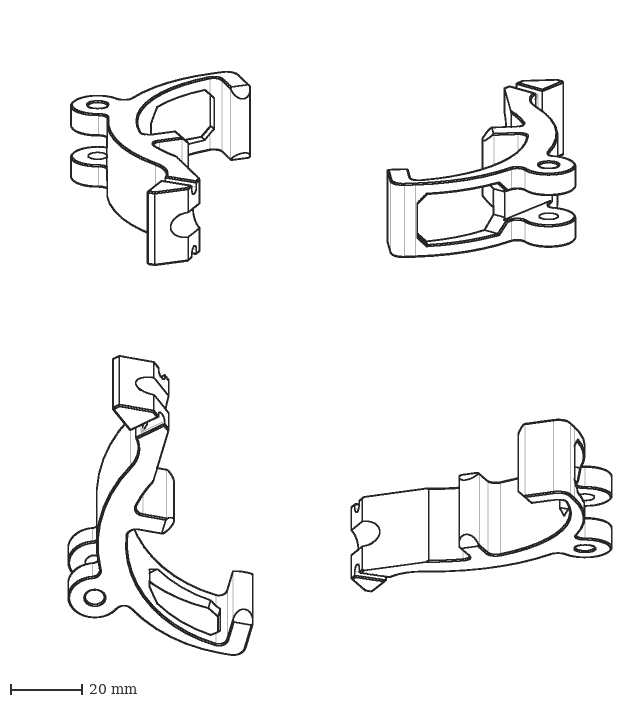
import cadquery as cq
import math

thickness = 22.0
half_thickness = thickness / 2
edge_chamfer = 0.4
overall_length = 95.2
margin = 0.95

lug_radius = 7.5
pivot_radius = 2.7
lug_fillet = 2.4
slot_half_width = 4.4
slot_floor_x = 7.8

jaw_center = (51.0, 9.0)
jaw_inner_radius = 39.0
jaw_outer_radius = 47.6
arm_center = (49.5, 5.3)
arm_outer_radius = 43.3

prong_width = 5.8
prong_half_width = prong_width / 2
prong_tip_distance = 29.5
prong_root_fillet = 2.4
hook_corner_fillet = 3.6
tip_slope_drop = 2.9

tail_inner_angle = 247.3
tail_stock_angle = 255.0
tail_outer_angle = 248.8
block_left_x = 40.7
block_right_x = 50.2
tail_end_y = -43.5
block_bottom_y = -56.1
block_bottom_width = 2.5

groove_center_y = -44.9
groove_radius = 1.5
groove_depth = 3.1
neck_bevel = 1.5
channel_radius = 3.7

window_half_height = 7.5
window_bottom_y = 9.8
window_top_start = (18.5, 35.5)
window_top_chamfer = 2.9
window_bottom_chamfer = 3.7
window_reach = 3.8


def polar(center, radius, degrees):
    angle = math.radians(degrees)
    return (center[0] + radius * math.cos(angle), center[1] + radius * math.sin(angle))


def prong_point(side, distance, offset):
    """Point at a distance from the jaw centre along a prong (side +1 upper, -1 lower).

    A positive offset lies on the prong flank facing away from the jaw.
    """
    diagonal = math.sqrt(0.5)
    x = jaw_center[0] + diagonal * (offset - distance)
    y = jaw_center[1] + side * diagonal * (offset + distance)
    return (x, y)


def circle_x(center, radius, y):
    """X of the left-hand point of a circle at height y."""
    return center[0] - math.sqrt(radius**2 - (y - center[1])**2)


root_distance = math.sqrt(jaw_inner_radius**2 - prong_half_width**2)
tip_end_distance = prong_tip_distance - prong_half_width
arm_tangent = polar(arm_center, arm_outer_radius, 135)
hook_distance = (
    (arm_tangent[1] - jaw_center[1]) - (arm_tangent[0] - jaw_center[0])
) * math.sqrt(0.5)
hook_apex = prong_point(1, hook_distance, prong_half_width)
upper_root = prong_point(1, root_distance, -prong_half_width)
lower_root_inside = prong_point(-1, root_distance, -prong_half_width)
lower_root_outside = prong_point(-1, root_distance, prong_half_width)
tail_slope_start = polar(jaw_center, jaw_inner_radius, tail_inner_angle)
tail_slope_end_y = tail_slope_start[1] - (block_right_x - tail_slope_start[0])
tail_stock_corner = polar(jaw_center, jaw_inner_radius, tail_stock_angle)
tail_curve_start = polar(jaw_center, jaw_outer_radius, tail_outer_angle)
block_slope_start = (block_left_x + block_bottom_width, block_bottom_y)
block_slope_end_y = block_bottom_y + block_right_x - block_slope_start[0]
arm_end = (circle_x(arm_center, arm_outer_radius, 0), 0)
jaw_outer_start = (circle_x(jaw_center, jaw_outer_radius, 0), 0)
jaw_inner_mid = polar(jaw_center, jaw_inner_radius, 180)
tail_inner_mid = polar(jaw_center, jaw_inner_radius, 240)
jaw_outer_mid = polar(jaw_center, jaw_outer_radius, 220)
arm_mid = polar(arm_center, arm_outer_radius, 160)
upper_lug_corner = polar((0, 0), lug_radius, 40)
lower_lug_corner = polar((0, 0), lug_radius, -40)


def vertical_edge(body, point):
    return body.edges("|Z").edges(cq.NearestToPointSelector((point[0], point[1], 0)))


def bracket_body():
    outline = (
        cq.Workplane("XY", origin=(0, 0, -half_thickness))
        .moveTo(*hook_apex)
        .lineTo(*prong_point(1, prong_tip_distance, prong_half_width))
        .threePointArc(
            prong_point(1, tip_end_distance, 0),
            prong_point(1, prong_tip_distance, -prong_half_width),
        )
        .lineTo(*upper_root)
        .threePointArc(jaw_inner_mid, lower_root_inside)
        .lineTo(*prong_point(-1, prong_tip_distance, -prong_half_width))
        .threePointArc(
            prong_point(-1, tip_end_distance, 0),
            prong_point(-1, prong_tip_distance, prong_half_width),
        )
        .lineTo(*lower_root_outside)
        .threePointArc(tail_inner_mid, tail_stock_corner)
        .lineTo(block_right_x, tail_stock_corner[1])
        .lineTo(block_right_x, block_slope_end_y)
        .lineTo(*block_slope_start)
        .lineTo(block_left_x, block_bottom_y)
        .lineTo(block_left_x, tail_end_y)
    )
    tangent = polar((0, 0), 1, tail_outer_angle + 90)
    chord = (block_left_x - tail_curve_start[0], tail_end_y - tail_curve_start[1])
    chord_length = math.hypot(*chord)
    half_turn = math.acos((chord[0] * tangent[0] + chord[1] * tangent[1]) / chord_length)
    sag = chord_length / 2 * math.tan(half_turn / 2)
    tail_curve_mid = (
        tail_curve_start[0] + chord[0] / 2 - chord[1] / chord_length * sag,
        tail_curve_start[1] + chord[1] / 2 + chord[0] / chord_length * sag,
    )
    body = (
        outline.threePointArc(tail_curve_mid, tail_curve_start)
        .threePointArc(jaw_outer_mid, jaw_outer_start)
        .lineTo(*arm_end)
        .threePointArc(arm_mid, arm_tangent)
        .close()
        .extrude(thickness)
    )
    lug = cq.Workplane("XY", origin=(0, 0, -half_thickness)).circle(lug_radius).extrude(thickness)
    body = body.union(lug)

    for corner, radius in (
        (hook_apex, hook_corner_fillet),
        (upper_root, prong_root_fillet),
        (lower_root_inside, prong_root_fillet),
        (lower_root_outside, prong_root_fillet),
        (upper_lug_corner, lug_fillet),
        (lower_lug_corner, lug_fillet),
    ):
        body = vertical_edge(body, corner).fillet(radius)
    return vertical_edge(body, (block_left_x, block_bottom_y)).chamfer(edge_chamfer)


def cut_hinge_slot(body):
    slot_length = slot_floor_x + lug_radius + margin
    slot = cq.Workplane("XY").box(slot_length, overall_length, 2 * slot_half_width)
    body = body.cut(slot.translate((slot_floor_x - slot_length / 2, 0, 0)))
    for side in (1, -1):
        wall = body.faces(cq.NearestToPointSelector((0, 0, side * slot_half_width)))
        body = wall.edges("not #X").edges("not |Y").chamfer(edge_chamfer)
    return body


def chamfer_rims(body):
    return body.faces("<Z or >Z").edges().chamfer(edge_chamfer)


def cut_tail_slope(body):
    """Cut the sloped back of the tail, whose edges stay sharp, out of the square stock."""
    waste = (
        cq.Workplane("XY")
        .moveTo(tail_slope_start[0] - margin, tail_slope_start[1] + margin)
        .lineTo(block_right_x + margin, tail_slope_end_y - margin)
        .lineTo(block_right_x + margin, tail_slope_start[1] + margin)
        .close()
        .extrude(thickness, both=True)
    )
    return body.cut(waste)


def cut_pivot_hole(body):
    hole = cq.Workplane("XY").circle(pivot_radius).extrude(thickness, both=True)
    countersink = (
        cq.Workplane("XY", origin=(0, 0, half_thickness))
        .circle(pivot_radius + edge_chamfer)
        .extrude(-edge_chamfer, taper=45)
    )
    return body.cut(hole).cut(countersink).cut(countersink.mirror("XY"))


def slope_prong_tips(body):
    """Slope the top and bottom of each round tip down towards its end."""
    reach = prong_half_width + margin
    drop = tip_slope_drop * reach / prong_half_width
    wedge = (
        cq.Workplane("XZ")
        .moveTo(0, half_thickness)
        .lineTo(reach, half_thickness - drop)
        .lineTo(reach, half_thickness)
        .close()
        .extrude(reach, both=True)
    )
    for side in (1, -1):
        tip = prong_point(side, prong_tip_distance, 0)
        cutter = wedge.rotate((0, 0, 0), (0, 0, 1), -45 * side).translate((tip[0], tip[1], 0))
        body = body.cut(cutter).cut(cutter.mirror("XY"))
    return body


def cut_window(body):
    """Window with 45 degree corners; its top wall slopes, its bottom wall runs along X."""
    outer_x = -lug_radius
    inner_x = window_top_start[0] + window_reach
    top_wall = window_top_start[0] + window_top_start[1]
    window = (
        cq.Workplane("XY", origin=(0, 0, -window_half_height))
        .moveTo(outer_x, window_bottom_y)
        .lineTo(inner_x, window_bottom_y)
        .lineTo(inner_x, top_wall - inner_x)
        .lineTo(outer_x, top_wall - outer_x)
        .close()
        .extrude(2 * window_half_height)
    )
    window = window.faces("<Y").edges("|X").chamfer(window_bottom_chamfer)
    window = window.faces(">(1,1,0)").edges("not |Z").chamfer(window_top_chamfer)
    body = body.cut(window)
    arm_face = body.faces(cq.NearestToPointSelector((*arm_mid, 0)))
    opening = cq.selectors.BoxSelector(
        (-lug_radius, 0, -window_half_height - margin),
        (*window_top_start, window_half_height + margin),
    )
    return arm_face.edges(opening).chamfer(edge_chamfer)


def cut_tie_groove(body):
    """Round-bottomed groove over the top, left and bottom of the tail."""
    center_depth = groove_depth - groove_radius
    neck_x = block_left_x + center_depth
    neck_z = half_thickness - center_depth
    groove_length = block_right_x - block_left_x + 2 * margin

    top = (
        cq.Workplane("YZ", origin=(block_left_x - margin, groove_center_y, 0))
        .moveTo(-groove_radius, half_thickness)
        .lineTo(-groove_radius, neck_z)
        .threePointArc((0, neck_z - groove_radius), (groove_radius, neck_z))
        .lineTo(groove_radius, half_thickness)
        .close()
        .extrude(groove_length)
    )
    left = (
        cq.Workplane("XY", origin=(0, groove_center_y, -half_thickness))
        .moveTo(block_left_x - margin, -groove_radius)
        .lineTo(neck_x, -groove_radius)
        .threePointArc((neck_x + groove_radius, 0), (neck_x, groove_radius))
        .lineTo(block_left_x - margin, groove_radius)
        .close()
        .extrude(thickness)
    )
    body = body.cut(top).cut(top.mirror("XY")).cut(left)

    bevel_depth = (2 * groove_radius + neck_bevel) * math.sqrt(0.5)
    bevel = (
        cq.Workplane("XY", origin=(0, 0, -half_thickness))
        .ellipse(bevel_depth, groove_radius)
        .extrude(thickness)
        .rotate((0, 0, 0), (0, 1, 0), 45)
        .translate((neck_x, groove_center_y, neck_z))
    )
    body = body.cut(bevel).cut(bevel.mirror("XY"))

    mouth = cq.selectors.BoxSelector(
        (block_left_x - margin, groove_center_y - groove_radius - edge_chamfer / 2, -thickness),
        (block_right_x + margin, groove_center_y + groove_radius + edge_chamfer / 2, thickness),
    )
    return body.faces("<Z or >Z").edges(mouth).edges("|X").chamfer(edge_chamfer)


def cut_wire_channel(body):
    """Half-round channel along Y in the right-hand face of the tail and end block."""
    channel = (
        cq.Workplane("XZ", origin=(block_right_x, tail_slope_start[1], 0))
        .circle(channel_radius)
        .extrude(overall_length)
    )
    return body.cut(channel)


result = bracket_body()
result = cut_hinge_slot(result).intersect(cut_window(result))
result = chamfer_rims(result)
result = cut_tail_slope(result)
result = cut_pivot_hole(result)
result = slope_prong_tips(result)
result = cut_tie_groove(result)
result = cut_wire_channel(result)